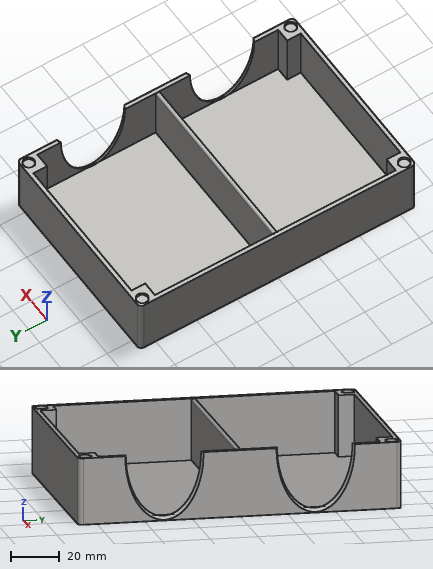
import cadquery as cq

length_x = 91.5
length_y = 135.5
height = 28.0
wall = 2.0
floor = 2.0
corner_radius = 2.0

inner_x = length_x - 2 * wall
inner_y = length_y - 2 * wall

post_depth_y = 6.7
rear_post_width_x = 7.2
front_post_width_x = 6.7

hole_diameter = 5.3
hole_depth = 1.2
hole_edge_distance = 3.5

divider_thickness = 2.1
divider_crown = 0.88

scoop_radius = 17.2
scoop_half_height = 28.8
scoop_center_x = 50.6
scoop_center_z = height
notch_offset_y = 31.7


def open_tray():
    """Box with rounded vertical edges and an open top."""
    outer = cq.Workplane("XY").box(length_x, length_y, height, centered=(True, True, False))
    outer = outer.edges("|Z").fillet(corner_radius)
    cavity = cq.Workplane("XY", origin=(0, 0, floor)).box(
        inner_x, inner_y, height, centered=(True, True, False)
    )
    return outer.cut(cavity)


def corner_post(side_x, side_y, width_x):
    """Rectangular post that fills one inner corner up to the rim."""
    center_x = side_x * (inner_x - width_x) / 2
    center_y = side_y * (inner_y - post_depth_y) / 2
    return cq.Workplane("XY", origin=(center_x, center_y, 0)).box(
        width_x, post_depth_y, height, centered=(True, True, False)
    )


def post_hole(side_x, side_y):
    """Blind hole sunk into the top of one corner post."""
    center_x = side_x * (length_x / 2 - hole_edge_distance)
    center_y = side_y * (length_y / 2 - hole_edge_distance)
    return (
        cq.Workplane("XY", origin=(center_x, center_y, height - hole_depth))
        .circle(hole_diameter / 2)
        .extrude(hole_depth)
    )


def divider():
    """Wall across the middle of the tray, crowned along its top."""
    half_thickness = divider_thickness / 2
    shoulder = height - divider_crown
    return (
        cq.Workplane("YZ", origin=(-inner_x / 2, 0, 0))
        .moveTo(-half_thickness, 0)
        .lineTo(half_thickness, 0)
        .lineTo(half_thickness, shoulder)
        .threePointArc((0, height), (-half_thickness, shoulder))
        .close()
        .extrude(inner_x)
    )


def finger_notch(center_y):
    """Ellipsoid cutter, trimmed to the thickness of the +X wall."""
    ellipsoid = (
        cq.Workplane("XZ")
        .ellipseArc(scoop_radius, scoop_half_height, -90, 90, startAtCurrent=False)
        .close()
        .revolve(360, (0, 0, 0), (0, 1, 0))
        .translate((scoop_center_x, center_y, scoop_center_z))
    )
    wall_slab = cq.Workplane("XY", origin=(inner_x / 2, center_y, 0)).box(
        wall, 2 * scoop_radius, height, centered=(False, True, False)
    )
    return ellipsoid.intersect(wall_slab)


result = open_tray().union(divider())
for side_y, post_width_x in ((1, rear_post_width_x), (-1, front_post_width_x)):
    for side_x in (-1, 1):
        result = result.union(corner_post(side_x, side_y, post_width_x))
        result = result.cut(post_hole(side_x, side_y))
    result = result.cut(finger_notch(side_y * notch_offset_y))